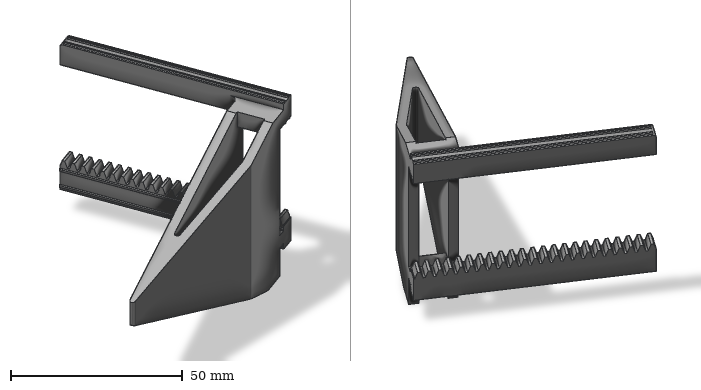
import cadquery as cq
import math

LENGTH = 71.89
DEPTH = 80.07
HEIGHT = 59.68

BAR_DEPTH = 5.1
UPPER_BAR_HEIGHT = 7.3
LOWER_BAR_HEIGHT = 8.15
RIDGE_HEIGHT = 0.3
RIDGE_BASE_WIDTH = 1.2
RIDGE_TOP_WIDTH = 0.6
RIDGE_MARGIN = 0.6
RIDGE_INSET = RIDGE_MARGIN + RIDGE_BASE_WIDTH / 2
UPPER_END_RADIUS = 0.9
LOWER_END_RADIUS = 0.3
LOWER_BAR_BOTTOM = 7.85
LOWER_BAR_TOP = LOWER_BAR_BOTTOM + LOWER_BAR_HEIGHT
UPPER_BAR_TOP = HEIGHT - RIDGE_HEIGHT
UPPER_BAR_BOTTOM = UPPER_BAR_TOP - UPPER_BAR_HEIGHT

MODULE = 1.0
PRESSURE_ANGLE = 20.0
TOOTH_PITCH = math.pi * MODULE
TOOTH_HEIGHT = 2.25 * MODULE
TOOTH_ADDENDUM = MODULE
FIRST_TOOTH_X = 1.18

VANE_LEFT = 57.1
VANE_TOP = 57.35
VANE_BACK = -7.75
WALL = 3.0
TAPER_START = -27.5
END_RADIUS = 0.9
UPPER_SLOPE_START = -12.55
UPPER_SLOPE_END_Z = 32.3
LOWER_SLOPE_START = -15.9
LOWER_SLOPE_END_Z = 24.2
RECESS_DEPTH = 0.6

WINDOW_BACK = -11.8
WINDOW_FRONT = -55.6
WINDOW_TAPER_START = -27.1

NECK_FILLET = 2.2
UPPER_NECK_BOTTOM = UPPER_BAR_BOTTOM
LOWER_NECK_BOTTOM = 9.8
LOWER_NECK_TOP = 14.4


def box(x0, x1, y0, y1, z0, z1):
    """Block between two opposite corners."""
    return cq.Workplane("XY").box(x1 - x0, y1 - y0, z1 - z0, centered=False).translate((x0, y0, z0))


def ridge(x_start, y, z, turn):
    """Trapezoidal ridge along X; turn swings its outward direction from +Z about the X axis."""
    half_base = RIDGE_BASE_WIDTH / 2
    half_top = RIDGE_TOP_WIDTH / 2
    return (
        cq.Workplane("YZ")
        .polyline([(-half_base, 0), (half_base, 0), (half_top, RIDGE_HEIGHT), (-half_top, RIDGE_HEIGHT)])
        .close()
        .extrude(LENGTH - x_start)
        .rotate((0, 0, 0), (1, 0, 0), turn)
        .translate((x_start, y, z))
    )


def upper_bar():
    """Plain bar, rounded at its free end, with two ridges above and two below."""
    bar = box(0, LENGTH, -BAR_DEPTH, 0, UPPER_BAR_BOTTOM, UPPER_BAR_TOP)
    bar = bar.edges("<X and >Z").fillet(UPPER_END_RADIUS)
    bar = bar.edges("<X and <Z").fillet(LOWER_END_RADIUS)
    for y in (-RIDGE_INSET, RIDGE_INSET - BAR_DEPTH):
        bar = bar.union(ridge(UPPER_END_RADIUS, y, UPPER_BAR_TOP, 0))
        bar = bar.union(ridge(LOWER_END_RADIUS, y, UPPER_BAR_BOTTOM, 180))
    return bar


def rack_teeth():
    """Straight-sided rack teeth along the bar, trimmed at both of its ends."""
    slope = math.tan(math.radians(PRESSURE_ANGLE))
    half_tip = TOOTH_PITCH / 4 - TOOTH_ADDENDUM * slope
    half_root = half_tip + TOOTH_HEIGHT * slope
    tip_z = LOWER_BAR_TOP + TOOTH_HEIGHT
    count = math.ceil((LENGTH - FIRST_TOOTH_X + half_root) / TOOTH_PITCH)
    teeth = cq.Workplane("XZ")
    for i in range(count):
        x = FIRST_TOOTH_X + i * TOOTH_PITCH
        teeth = teeth.polyline([
            (x - half_root, LOWER_BAR_TOP),
            (x - half_tip, tip_z),
            (x + half_tip, tip_z),
            (x + half_root, LOWER_BAR_TOP),
        ]).close()
    return teeth.extrude(BAR_DEPTH).intersect(box(0, LENGTH, -BAR_DEPTH, 0, LOWER_BAR_TOP, tip_z))


def lower_bar():
    """Toothed bar with two ridges on its front face."""
    bar = box(0, LENGTH, -BAR_DEPTH, 0, LOWER_BAR_BOTTOM, LOWER_BAR_TOP).union(rack_teeth())
    for z in (LOWER_BAR_BOTTOM + RIDGE_INSET, LOWER_BAR_TOP - RIDGE_INSET):
        bar = bar.union(ridge(0, -BAR_DEPTH, z, 90))
    return bar


def round_ended_wedge(left, right, taper_start, front, end_radius):
    """Prism with a straight left side, a right side tapered from taper_start, and a round front end."""
    centre_x = left + end_radius
    centre_y = front + end_radius
    corner_dx = right - centre_x
    corner_dy = taper_start - centre_y
    taper = math.acos(end_radius / math.hypot(corner_dx, corner_dy)) - math.atan2(corner_dy, corner_dx)
    tangent_x = centre_x + end_radius * math.cos(taper)
    tangent_y = centre_y - end_radius * math.sin(taper)
    return (
        cq.Workplane("XY")
        .moveTo(left, VANE_BACK)
        .lineTo(right, VANE_BACK)
        .lineTo(right, taper_start)
        .lineTo(tangent_x, tangent_y)
        .threePointArc((centre_x, front), (left, centre_y))
        .close()
        .extrude(VANE_TOP)
    )


def vane_side():
    """Vane seen along X: sloped above and below towards the tip."""
    return (
        cq.Workplane("YZ")
        .polyline([
            (VANE_BACK, 0),
            (VANE_BACK, VANE_TOP),
            (UPPER_SLOPE_START, VANE_TOP),
            (-DEPTH, UPPER_SLOPE_END_Z),
            (-DEPTH, LOWER_SLOPE_END_Z),
            (LOWER_SLOPE_START, 0),
        ])
        .close()
        .extrude(LENGTH)
    )


def vane():
    """Hollow wedge, its left wall set back below the lower neck."""
    recess = box(VANE_LEFT, VANE_LEFT + WALL, VANE_BACK - RECESS_DEPTH, VANE_BACK, 0, LOWER_NECK_BOTTOM)
    body = round_ended_wedge(VANE_LEFT, LENGTH, TAPER_START, -DEPTH, END_RADIUS)
    window = round_ended_wedge(VANE_LEFT + WALL, LENGTH - WALL, WINDOW_TAPER_START, WINDOW_FRONT, END_RADIUS)
    return body.intersect(vane_side()).cut(window).cut(recess)


def neck(z_bottom, z_top):
    """Block from a bar to the back of the window, with a concave fillet against the bar."""
    return (
        cq.Workplane("XY", origin=(0, 0, z_bottom))
        .moveTo(VANE_LEFT - NECK_FILLET, -BAR_DEPTH)
        .lineTo(LENGTH, -BAR_DEPTH)
        .lineTo(LENGTH, WINDOW_BACK)
        .lineTo(VANE_LEFT, WINDOW_BACK)
        .lineTo(VANE_LEFT, -BAR_DEPTH - NECK_FILLET)
        .radiusArc((VANE_LEFT - NECK_FILLET, -BAR_DEPTH), -NECK_FILLET)
        .close()
        .extrude(z_top - z_bottom)
    )


result = (
    vane()
    .union(neck(UPPER_NECK_BOTTOM, VANE_TOP))
    .union(neck(LOWER_NECK_BOTTOM, LOWER_NECK_TOP))
    .union(upper_bar())
    .union(lower_bar())
)